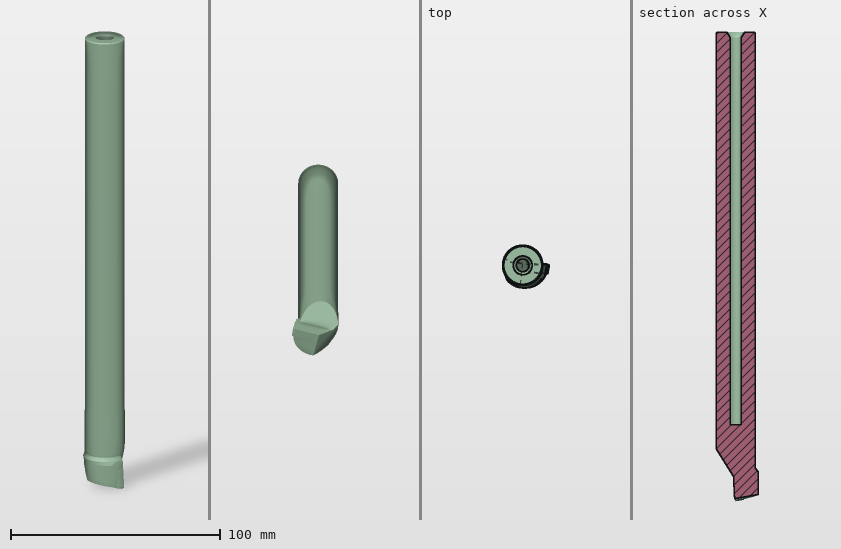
import cadquery as cq
import math

overall_length = 223.5
shank_diameter = 19.04
neck_diameter = 19.14
neck_radius = neck_diameter / 2
shank_start = 36.5
end_chamfer = 0.5
function_width = 12.7

bore_diameter = 6.0
bore_mouth_diameter = 9.0
bore_mouth_taper = 30.0
bore_mouth_depth = (bore_mouth_diameter - bore_diameter) / 2 / math.tan(math.radians(bore_mouth_taper))
bore_depth = overall_length - shank_start

head_lowest = 10.81
flare_shift = (head_lowest - neck_radius) / (1 + math.sqrt(2))
flare_center = (flare_shift, -flare_shift)
flare_radius = head_lowest - flare_shift
head_radius = 10.75
head_shift_y = head_radius - head_lowest
head_shift_x = math.sqrt((head_radius - neck_radius) ** 2 - head_shift_y ** 2)
head_center = (head_shift_x, head_shift_y)
flare_top = 15.8
flare_bottom = 14.1
head_top = 12.3

rake_slope_x = -0.06
rake_slope_z = 0.05

gullet_start = 25.3
gullet_angle = 32.0
bevel_start = 17.8
bevel_angle = 29.5

insert_circle = 9.525
insert_thickness = 3.97
insert_corner_angle = 80.0
insert_relief = 7.0
nose_radius = 0.8
edge_angle = 5.0

head_relief = 10.0
relief_slope = math.tan(math.radians(head_relief))
head_setback = 0.25

cutter_size = 120.0


def half_space(point, normal):
    """Large block that starts on a plane through the point and fills the side the normal points to."""
    plane = cq.Plane(origin=point, normal=normal)
    return cq.Workplane(plane).rect(cutter_size, cutter_size).extrude(cutter_size)


def sin(degrees):
    return math.sin(math.radians(degrees))


def cos(degrees):
    return math.cos(math.radians(degrees))


rake_normal = (-rake_slope_x, 1, -rake_slope_z)
nose_center = (function_width - nose_radius, 0, nose_radius)


def make_insert():
    """Rhombic plate with one rounded corner, tapering away from the rake plane."""
    side = insert_circle / sin(insert_corner_angle)
    along_end = (-cos(edge_angle), -sin(edge_angle))
    along_side = (-sin(edge_angle), -cos(edge_angle))
    corner = nose_radius / sin(insert_corner_angle / 2) * sin(45)
    end_corner = (corner + side * along_end[0], corner + side * along_end[1])
    side_corner = (corner + side * along_side[0], corner + side * along_side[1])
    far_corner = (end_corner[0] + side * along_side[0], end_corner[1] + side * along_side[1])
    plane = cq.Plane(origin=nose_center, xDir=(1, rake_slope_x, 0), normal=rake_normal)
    outline = (
        cq.Workplane(plane)
        .moveTo(*far_corner)
        .lineTo(*end_corner)
        .lineTo(-nose_radius * sin(edge_angle), nose_radius * cos(edge_angle))
        .threePointArc(
            (nose_radius * sin(45), nose_radius * sin(45)),
            (nose_radius * cos(edge_angle), -nose_radius * sin(edge_angle)),
        )
        .lineTo(*side_corner)
        .close()
    )
    return outline.extrude(-insert_thickness, taper=insert_relief)


def ruled_stage(bottom, top):
    """Straight-sided stage between two level circles, each given as (height, radius, centre)."""
    bottom_z, bottom_radius, bottom_center = bottom
    top_z, top_radius, top_center = top
    start = cq.Workplane(origin=(*bottom_center, bottom_z)).circle(bottom_radius)
    end = start.workplane(offset=top_z - bottom_z, origin=(*top_center, bottom_z)).circle(top_radius)
    return end.loft(ruled=True)


def make_shank():
    shank = cq.Workplane(origin=(0, 0, shank_start)).circle(shank_diameter / 2)
    return shank.extrude(overall_length - shank_start).faces(">Z").chamfer(end_chamfer)


def cut_side_relief(head):
    """Clears the head behind the side edge of the insert."""
    point = (function_width - head_setback, 0, 0)
    return head.cut(half_space(point, (cos(edge_angle), -relief_slope, sin(edge_angle))))


def make_head():
    """Enlarged end of the bar, kept only below the rake plane."""
    neck_end = (flare_top, neck_radius, (0, 0))
    flare_end = (flare_bottom, flare_radius, flare_center)
    head_start = (head_top, head_radius, head_center)
    body = cq.Workplane(origin=(*head_center, 0)).circle(head_radius).extrude(head_top)
    head = body.union(ruled_stage(head_start, flare_end)).union(ruled_stage(flare_end, neck_end))
    return cut_side_relief(head.cut(half_space(nose_center, rake_normal)))


def make_bar():
    neck = cq.Workplane().circle(neck_radius).extrude(shank_start)
    return make_shank().union(neck).union(make_head())


def cut_gullet(bar):
    above_rake = half_space(nose_center, rake_normal)
    normal = (0, cos(gullet_angle), -sin(gullet_angle))
    runout = half_space((0, neck_radius, gullet_start), normal)
    return bar.cut(above_rake.intersect(runout))


def cut_bevel(bar):
    normal = (-cos(bevel_angle), 0, -sin(bevel_angle))
    return bar.cut(half_space((-neck_radius, 0, bevel_start), normal))


def cut_end_relief(bar):
    """Clears the bar behind the end edge of the insert."""
    point = (function_width, 0, head_setback)
    return bar.cut(half_space(point, (-sin(edge_angle), -relief_slope, -cos(edge_angle))))


def cut_bore(bar):
    top = cq.Workplane().workplane(offset=overall_length)
    bore = top.circle(bore_diameter / 2).extrude(-bore_depth)
    mouth = top.circle(bore_mouth_diameter / 2).extrude(-bore_mouth_depth, taper=bore_mouth_taper)
    return bar.cut(bore).cut(mouth)


insert = make_insert()
bar = cut_bore(cut_end_relief(cut_bevel(cut_gullet(make_bar())))).cut(insert)
result = cq.Compound.makeCompound([bar.solids().val(), insert.val()])